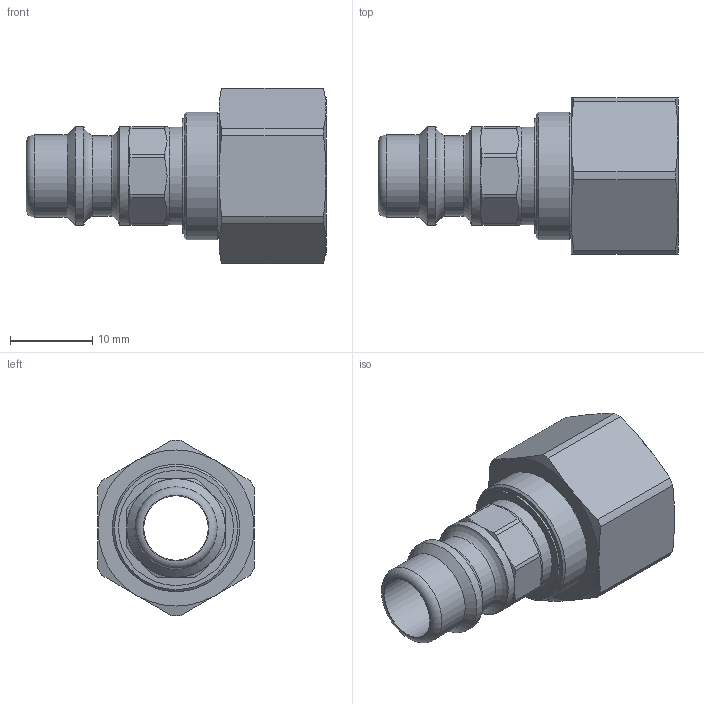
import cadquery as cq
import math


TIP_END = 5.0
COLLAR_FLAT_START = 6.0
COLLAR_FLAT_END = 7.0
GROOVE_START = 8.1
GROOVE_END = 10.35
SHANK_START = 11.4
OCTAGON_START = 12.5
OCTAGON_END = 17.4
SEAT_START = 19.0
RING_START = 19.25
HEXAGON_START = 23.5
TOTAL_LENGTH = 36.5

BORE_DIAMETER = 7.85
TIP_DIAMETER = 10.0
COLLAR_DIAMETER = 12.0
GROOVE_DIAMETER = 9.75
NECK_DIAMETER = 11.9
SEAT_DIAMETER = 14.0
RING_DIAMETER = 15.5

TIP_ROUNDING = 1.0
FRONT_FLANK_RADIUS = 2.2
REAR_FLANK_RADIUS = 1.6
RING_CHAMFER = 0.25

OCTAGON_ACROSS_FLATS = 12.0
OCTAGON_CORNER_DIAMETER = 12.8
OCTAGON_FRONT_CHAMFER = 0.15
OCTAGON_RUNOUT = 0.55
HEXAGON_ACROSS_FLATS = 19.0
HEXAGON_CORNER_DIAMETER = 21.4
HEXAGON_CHAMFER = 0.3


def revolve_about_x(profile):
    """Revolve a closed XY profile a full turn about the X axis."""
    return profile.revolve(360, (0, 0, 0), (1, 0, 0))


def cylinder(start, end, diameter):
    """Solid cylinder along X between two stations."""
    return cq.Workplane("YZ", origin=(start, 0, 0)).circle(diameter / 2).extrude(end - start)


def polygon_bar(sides, across_flats, start, end):
    """Regular polygonal bar along X with flats facing +Y and -Y."""
    across_corners = across_flats / math.cos(math.pi / sides)
    return (
        cq.Workplane("YZ", origin=(start, 0, 0))
        .transformed(rotate=(0, 0, 180 / sides))
        .polygon(sides, across_corners)
        .extrude(end - start)
    )


def make_octagon():
    """Octagon with turned corners, a front chamfer and a hollow runout into the neck."""
    corner_radius = OCTAGON_CORNER_DIAMETER / 2
    neck_radius = NECK_DIAMETER / 2
    runout_start = OCTAGON_END - OCTAGON_RUNOUT
    runout_drop = corner_radius - neck_radius
    runout_radius = (OCTAGON_RUNOUT**2 + runout_drop**2) / (2 * runout_drop)
    envelope = revolve_about_x(
        cq.Workplane("XY")
        .moveTo(OCTAGON_START, 0)
        .lineTo(OCTAGON_START, COLLAR_DIAMETER / 2)
        .lineTo(OCTAGON_START + OCTAGON_FRONT_CHAMFER, corner_radius)
        .lineTo(runout_start, corner_radius)
        .radiusArc((OCTAGON_END, neck_radius), -runout_radius)
        .lineTo(OCTAGON_END, 0)
        .close()
    )
    return polygon_bar(8, OCTAGON_ACROSS_FLATS, OCTAGON_START, OCTAGON_END).intersect(envelope)


def make_hexagon():
    """Hexagon with turned corners, chamfered alike at both ends."""
    corner_radius = HEXAGON_CORNER_DIAMETER / 2
    face_radius = HEXAGON_ACROSS_FLATS / 2
    envelope = revolve_about_x(
        cq.Workplane("XY")
        .moveTo(HEXAGON_START, 0)
        .lineTo(HEXAGON_START, face_radius)
        .lineTo(HEXAGON_START + HEXAGON_CHAMFER, corner_radius)
        .lineTo(TOTAL_LENGTH - HEXAGON_CHAMFER, corner_radius)
        .lineTo(TOTAL_LENGTH, face_radius)
        .lineTo(TOTAL_LENGTH, 0)
        .close()
    )
    return polygon_bar(6, HEXAGON_ACROSS_FLATS, HEXAGON_START, TOTAL_LENGTH).intersect(envelope)


def plug_end():
    """Rounded tip, latching collar and concave-flanked groove, up to the octagon."""
    tip_radius = TIP_DIAMETER / 2
    collar_radius = COLLAR_DIAMETER / 2
    groove_radius = GROOVE_DIAMETER / 2
    return revolve_about_x(
        cq.Workplane("XY")
        .lineTo(0, tip_radius - TIP_ROUNDING)
        .radiusArc((TIP_ROUNDING, tip_radius), TIP_ROUNDING)
        .lineTo(TIP_END, tip_radius)
        .lineTo(COLLAR_FLAT_START, collar_radius)
        .lineTo(COLLAR_FLAT_END, collar_radius)
        .radiusArc((GROOVE_START, groove_radius), -FRONT_FLANK_RADIUS)
        .lineTo(GROOVE_END, groove_radius)
        .radiusArc((SHANK_START, collar_radius), -REAR_FLANK_RADIUS)
        .lineTo(OCTAGON_START, collar_radius)
        .lineTo(OCTAGON_START, 0)
        .close()
    )


def make_nipple():
    """One-piece nipple: plug end, octagon, neck, ring seat and hexagon, bored through."""
    neck = cylinder(OCTAGON_END, SEAT_START, NECK_DIAMETER)
    ring_seat = cylinder(SEAT_START, HEXAGON_START, SEAT_DIAMETER)
    bore = cylinder(0, TOTAL_LENGTH, BORE_DIAMETER)
    body = plug_end().union(make_octagon()).union(neck).union(ring_seat).union(make_hexagon())
    return body.cut(bore)


def make_marking_ring():
    """Plain ring on the seat, against the hexagon, with both outer edges chamfered."""
    ring = cylinder(RING_START, HEXAGON_START, RING_DIAMETER).faces("<X or >X").chamfer(RING_CHAMFER)
    return ring.cut(cylinder(RING_START, HEXAGON_START, SEAT_DIAMETER))


nipple = make_nipple()
marking_ring = make_marking_ring()

result = cq.Compound.makeCompound([nipple.val(), marking_ring.val()])